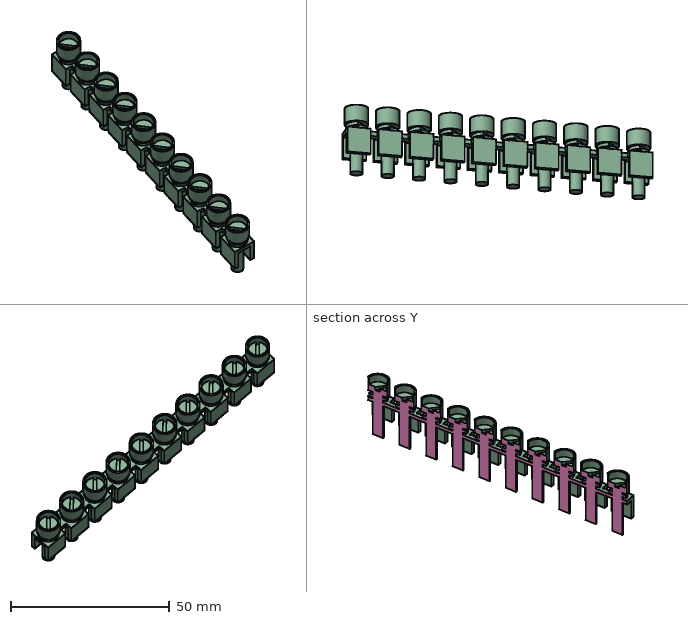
import cadquery as cq


row_length = 99.3
clamp_count = 10
block_size = 7.5
pitch = (row_length - block_size) / (clamp_count - 1)

total_height = 21.8
block_bottom = 5.8
block_height = 8.3
block_top = block_bottom + block_height

wall = 1.5
channel_width = block_size - 2 * wall
spine_width = 2.7
spine_height = wall

shank_radius = 2.0
washer_radius = 3.4
washer_thickness = 1.2
washer_turn = 355
washer_sink = 0.1
washer_overlap = 0.5
head_gap = 2.4
head_bottom = block_top + head_gap
head_radius = block_size / 2
cup_radius = 3.2
cup_depth = 2.8
cup_floor = total_height - cup_depth
slot_width = 1.1
slot_depth = 1.2
slot_angle = 45


def cylinder(radius, bottom, top):
    return cq.Workplane("XY").workplane(offset=bottom).circle(radius).extrude(top - bottom)


def bar(length, width, bottom, top):
    return cq.Workplane("XY").workplane(offset=bottom).rect(length, width).extrude(top - bottom)


def saddle_block():
    """Square block with a channel along X, open at the bottom."""
    block = bar(block_size, block_size, block_bottom, block_top)
    channel = bar(block_size, channel_width, block_bottom, block_top - wall)
    return block.cut(channel)


def split_washer():
    """Helical ring that climbs from a low end on the -Y side, gaining its own thickness per full turn."""
    inner_radius = shank_radius - washer_overlap
    rise = washer_thickness * washer_turn / 360
    helix = cq.Wire.makeHelix(washer_thickness, rise, washer_radius)
    turn = (
        cq.Workplane("XZ")
        .moveTo(inner_radius, 0)
        .rect(washer_radius - inner_radius, washer_thickness, centered=False)
        .sweep(cq.Workplane(obj=helix), isFrenet=True)
    )
    return turn.rotate((0, 0, 0), (0, 0, 1), -90).translate((0, 0, block_top - washer_sink))


def screw():
    """Shank with a hollow cup head and a diagonal driver slot in the cup floor."""
    shank = cylinder(shank_radius, 0, head_bottom)
    head = cylinder(head_radius, head_bottom, total_height).cut(cylinder(cup_radius, cup_floor, total_height))
    slot_bottom = cup_floor - slot_depth
    slot = bar(2 * cup_radius, slot_width, slot_bottom, cup_floor).rotate((0, 0, 0), (0, 0, 1), slot_angle)
    slot = slot.intersect(cylinder(cup_radius, slot_bottom, cup_floor))
    return shank.union(head.cut(slot))


def spine():
    """Bar flush with the block tops that links all the clamps."""
    return bar(row_length, spine_width, block_top - spine_height, block_top)


clamp = saddle_block().union(screw()).union(split_washer())

result = spine()
for index in range(clamp_count):
    x = (index - (clamp_count - 1) / 2) * pitch
    result = result.union(clamp.translate((x, 0, 0)))